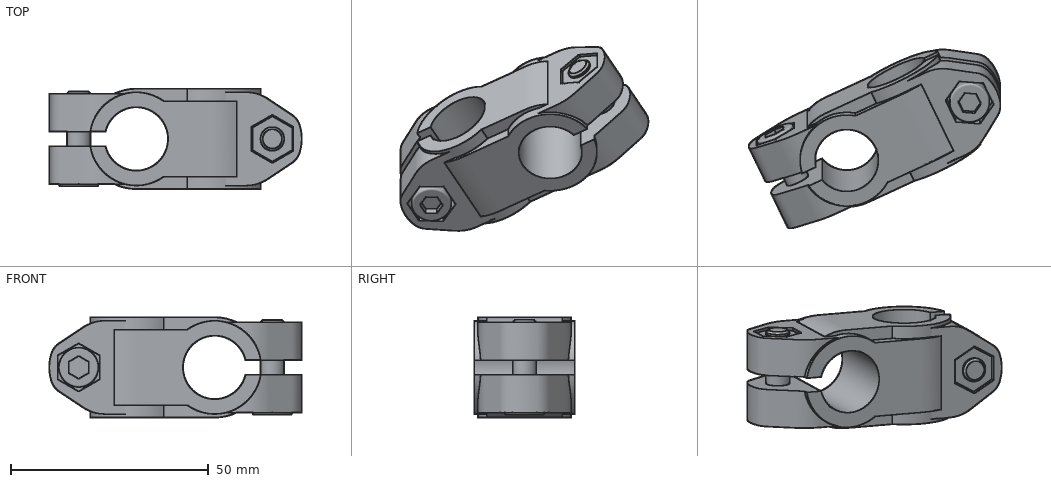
import cadquery as cq
import math

LENGTH = 64.0
HEIGHT = 25.5
BORE_SPACING = 19.85
BORE_DIAMETER = 16.0
RING_DIAMETER = 23.6
NECK_WIDTH = 19.1
JAW_WIDTH = 22.9
SLOT_WIDTH = 3.65

TAPER_SLOPE = 2 / 3
NOSE_RADIUS = 11.3
NOSE_HALF_HEIGHT = 5.3
SHOULDER_RADIUS = 10.0
NOSE_CORNER_RADIUS = 5.0

SCREW_POSITION = 24.5
SCREW_DIAMETER = 6.0
SCREW_PROUD = 0.6
TIP_CHAMFER = 0.6
HEAD_DIAMETER = 10.0
HEAD_HEIGHT = 6.0
HEAD_FILLET = 0.45
SOCKET_FLATS = 5.0
SOCKET_DEPTH = 2.0
POCKET_FLATS = 10.55
NUT_FLATS = 10.0
NUT_HEIGHT = 5.0
NUT_RECESS = 0.5

bore_x = -BORE_SPACING / 2
screw_x = -SCREW_POSITION
tip_x = -LENGTH / 2
half_height = HEIGHT / 2
half_jaw = JAW_WIDTH / 2
ring_radius = RING_DIAMETER / 2
pad_end_x = -bore_x + math.sqrt(half_height**2 - half_jaw**2)
screw_end = half_jaw + SCREW_PROUD
head_seat = HEAD_HEIGHT - screw_end
nut_face = half_jaw - NUT_RECESS
nut_seat = nut_face - NUT_HEIGHT


def cylinder_y(diameter, y_start, y_end):
    """Cylinder on the screw axis between two Y levels."""
    return (
        cq.Workplane("XZ", origin=(screw_x, y_start, 0))
        .circle(diameter / 2)
        .extrude(y_start - y_end)
    )


def hexagon_y(flats, y_start, y_end):
    """Hexagonal prism on the screw axis, with two corners pointing along Z."""
    return (
        cq.Workplane("XZ", origin=(screw_x, y_start, 0))
        .transformed(rotate=(0, 0, 90))
        .polygon(6, flats / math.cos(math.pi / 6))
        .extrude(y_start - y_end)
    )


def ring_and_neck():
    """Full-height ring around the bore with the strap reaching over the other clamp."""
    ring = cq.Workplane("XY").center(bore_x, 0).circle(ring_radius).extrude(half_height, both=True)
    neck_length = pad_end_x - bore_x
    neck_centre = (bore_x + neck_length / 2, 0, 0)
    neck = cq.Workplane("XY", origin=neck_centre).box(neck_length, NECK_WIDTH, HEIGHT)
    straight = cq.Workplane("XY").box(BORE_SPACING, NECK_WIDTH, HEIGHT)
    round_end = (
        cq.Workplane("XZ").center(-bore_x, 0).circle(half_height).extrude(NECK_WIDTH / 2, both=True)
    )
    return ring.union(neck.intersect(straight.union(round_end)))


def round_edges_at(block, x, radius):
    """Fillet the edges of a block that run along Y at the given X."""
    reach = 0.65
    corners = cq.selectors.BoxSelector((x - reach, -HEIGHT, -HEIGHT), (x + reach, HEIGHT, HEIGHT))
    return block.edges("|Y").edges(corners).fillet(radius)


def jaw_block():
    """Tapered block that carries the screw, before it is slotted."""
    nose_x = tip_x + NOSE_RADIUS - math.sqrt(NOSE_RADIUS**2 - NOSE_HALF_HEIGHT**2)
    shoulder_x = nose_x + (ring_radius - NOSE_HALF_HEIGHT) / TAPER_SLOPE
    block = (
        cq.Workplane("XZ")
        .moveTo(bore_x, -ring_radius)
        .lineTo(shoulder_x, -ring_radius)
        .lineTo(nose_x, -NOSE_HALF_HEIGHT)
        .threePointArc((tip_x, 0), (nose_x, NOSE_HALF_HEIGHT))
        .lineTo(shoulder_x, ring_radius)
        .lineTo(bore_x, ring_radius)
        .close()
        .extrude(half_jaw, both=True)
    )
    block = round_edges_at(block, shoulder_x, SHOULDER_RADIUS)
    return round_edges_at(block, nose_x, NOSE_CORNER_RADIUS)


def screw_and_nut():
    """Socket-head screw with its head on the -Y side and its nut on the +Y side."""
    shank = cylinder_y(SCREW_DIAMETER, -half_jaw, screw_end).faces(">Y").chamfer(TIP_CHAMFER)
    head = cylinder_y(HEAD_DIAMETER, -screw_end, head_seat).faces("<Y").edges().fillet(HEAD_FILLET)
    socket = hexagon_y(SOCKET_FLATS, -screw_end, SOCKET_DEPTH - screw_end)
    nut = hexagon_y(NUT_FLATS, nut_seat, nut_face)
    return shank.union(head).union(nut).cut(socket)


def clamp():
    """One slotted clamp with its screw, before the bores are cut."""
    body = ring_and_neck().union(jaw_block())
    slot_centre = ((tip_x + bore_x) / 2, 0, 0)
    slot = cq.Workplane("XY", origin=slot_centre).box(bore_x - tip_x, SLOT_WIDTH, HEIGHT)
    head_pocket = hexagon_y(POCKET_FLATS, -half_jaw, head_seat)
    nut_pocket = hexagon_y(POCKET_FLATS, nut_seat, half_jaw)
    return body.cut(slot).cut(head_pocket).cut(nut_pocket).union(screw_and_nut())


def bore():
    """Cutter for the bore of one clamp."""
    return cq.Workplane("XY").center(bore_x, 0).circle(BORE_DIAMETER / 2).extrude(half_height, both=True)


def turned(shape):
    """Half turn about the diagonal between Y and Z: the place of the second clamp."""
    return shape.rotate((0, 0, 0), (0, 1, 1), 180)


result = clamp().union(turned(clamp())).cut(bore()).cut(turned(bore()))